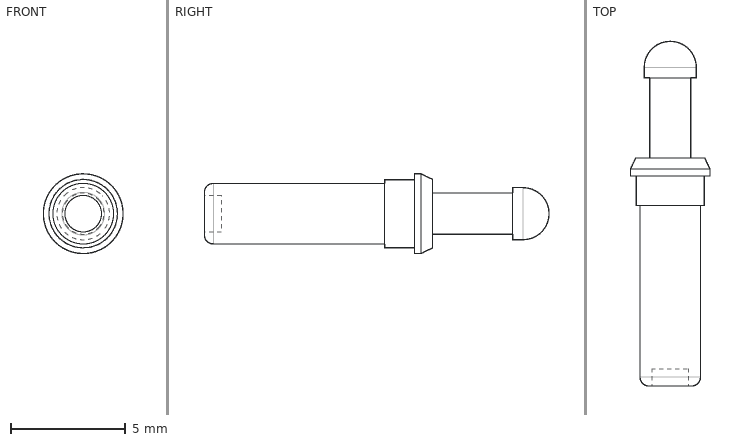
import cadquery as cq
import math

TOTAL_LENGTH = 15.1
SEAT_START = 7.9
FLANGE_START = 9.2
CONE_START = 9.5
NECK_START = 10.0
HEAD_START = 13.5

HEAD_RADIUS = 1.15
NECK_RADIUS = 0.9
CONE_END_RADIUS = 1.51
FLANGE_RADIUS = 1.75
SEAT_RADIUS = 1.5
BARREL_RADIUS = 1.33

TAIL_ROUND = 0.4
BORE_RADIUS = 0.8
BORE_DEPTH = 0.75


def make_pin_body():
    """Revolve the outer half-profile (radius along X, length along Y) about the Y axis."""
    dome_start = TOTAL_LENGTH - HEAD_RADIUS
    arc_mid = math.sqrt(0.5)
    tail_round_mid = (
        BARREL_RADIUS - TAIL_ROUND * (1 - arc_mid),
        TAIL_ROUND * (1 - arc_mid),
    )
    dome_mid = (HEAD_RADIUS * arc_mid, dome_start + HEAD_RADIUS * arc_mid)

    profile = (
        cq.Workplane("XY")
        .lineTo(BARREL_RADIUS - TAIL_ROUND, 0)
        .threePointArc(tail_round_mid, (BARREL_RADIUS, TAIL_ROUND))
        .lineTo(BARREL_RADIUS, SEAT_START)
        .lineTo(SEAT_RADIUS, SEAT_START)
        .lineTo(SEAT_RADIUS, FLANGE_START)
        .lineTo(FLANGE_RADIUS, FLANGE_START)
        .lineTo(FLANGE_RADIUS, CONE_START)
        .lineTo(CONE_END_RADIUS, NECK_START)
        .lineTo(NECK_RADIUS, NECK_START)
        .lineTo(NECK_RADIUS, HEAD_START)
        .lineTo(HEAD_RADIUS, HEAD_START)
        .lineTo(HEAD_RADIUS, dome_start)
        .threePointArc(dome_mid, (0, TOTAL_LENGTH))
        .close()
    )
    return profile.revolve(360, (0, 0, 0), (0, 1, 0))


def make_tail_bore():
    """Flat-bottomed blind bore entering from the tail end face."""
    return cq.Workplane("XZ").circle(BORE_RADIUS).extrude(-BORE_DEPTH)


result = make_pin_body().cut(make_tail_bore())